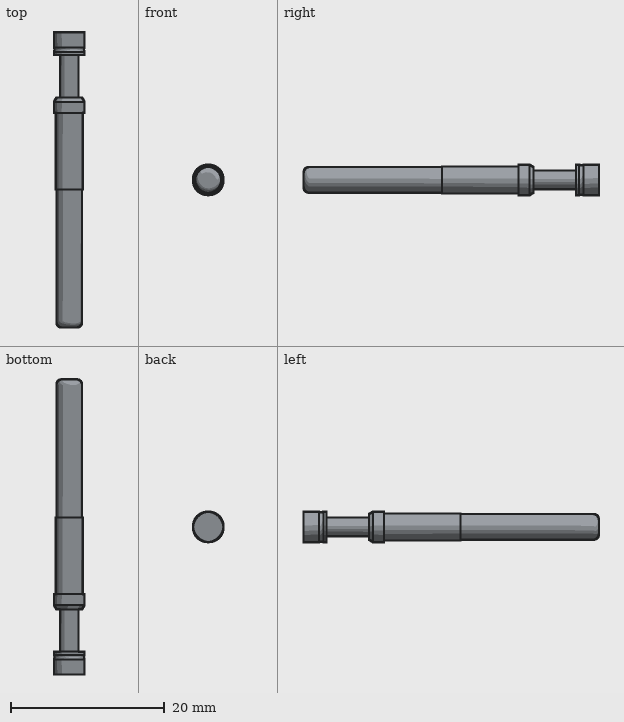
import cadquery as cq
import math

overall_length = 38.5
head_end = overall_length / 2

head_radius = 2.0
head_total_length = 3.0
groove_start = 2.0
groove_width = 0.58
groove_depth = 0.08

stem_radius = 1.25

collar_radius = head_radius
collar_start = 8.5
collar_end = 10.5
collar_chamfer_length = 0.58
collar_chamfer_angle = 30
collar_chamfer_depth = collar_chamfer_length * math.tan(math.radians(collar_chamfer_angle))

press_fit_radius = 1.77
press_fit_end = 20.5

barrel_radius = 1.7
tip_fillet = 0.77


def disc(radius, start, end):
    """Coaxial cylinder between two distances from the head end."""
    plane = cq.Workplane("XZ", origin=(0, head_end - start, 0))
    return plane.circle(radius).extrude(end - start)


def make_groove_cutter():
    """Ring that cuts a groove with a shallow arc-shaped bottom."""
    groove_front = head_end - groove_start
    groove_back = groove_front - groove_width
    groove_middle = (groove_front + groove_back) / 2
    section = (
        cq.Workplane("XY")
        .moveTo(head_radius, groove_front)
        .threePointArc((head_radius - groove_depth, groove_middle), (head_radius, groove_back))
        .close()
    )
    return section.revolve(360, (0, 0), (0, 1))


def make_head():
    return disc(head_radius, 0, head_total_length).cut(make_groove_cutter())


def make_collar():
    collar = disc(collar_radius, collar_start, collar_end)
    return collar.faces(">Y").edges().chamfer(collar_chamfer_length, collar_chamfer_depth)


def make_barrel():
    barrel = disc(barrel_radius, collar_end, overall_length)
    return barrel.faces("<Y").edges().fillet(tip_fillet)


result = (
    make_head()
    .union(disc(stem_radius, head_total_length, collar_start))
    .union(make_collar())
    .union(disc(press_fit_radius, collar_end, press_fit_end))
    .union(make_barrel())
)